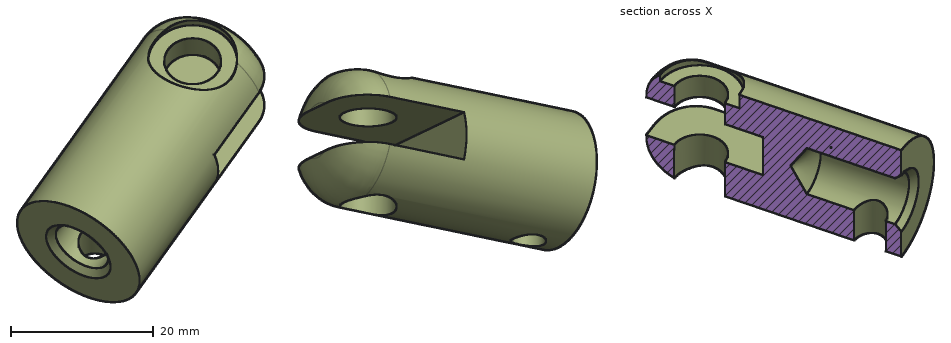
import cadquery as cq
import math

body_diameter = 20.0
body_length = 40.5
end_round_radius = 6.0

slot_width = 7.0
slot_depth = 18.5

pin_hole_diameter = 8.0
pin_hole_from_plain_end = 32.0
head_recess_diameter = 12.5
head_recess_floor_height = 7.5

socket_diameter = 8.5
socket_depth = 15.0
socket_tip_angle = 118.0
socket_chamfer = 1.0

side_hole_diameter = 5.0
side_hole_from_plain_end = 5.0

body_radius = body_diameter / 2
axis_start = (0, 0, 0)
axis_end = (0, 1, 0)


def make_body():
    """Cylinder with one rounded end, revolved about Y."""
    round_start = body_length - end_round_radius
    flat_radius = body_radius - end_round_radius
    return (
        cq.Workplane("XY")
        .lineTo(body_radius, 0)
        .lineTo(body_radius, round_start)
        .radiusArc((flat_radius, body_length), -end_round_radius)
        .lineTo(0, body_length)
        .close()
        .revolve(360, axis_start, axis_end)
    )


def make_slot():
    """Box that splits the rounded end into two fork arms."""
    slot_center = body_length - slot_depth / 2
    return cq.Workplane("XY").box(body_diameter, slot_depth, slot_width).translate((0, slot_center, 0))


def make_vertical_cylinder(diameter, distance_from_plain_end, bottom, top):
    """Cutting cylinder along Z on the centre plane of the body."""
    return (
        cq.Workplane("XY", origin=(0, distance_from_plain_end, bottom))
        .circle(diameter / 2)
        .extrude(top - bottom)
    )


def make_socket():
    """Drilled bore with a conical tip and a chamfered mouth, revolved about Y."""
    socket_radius = socket_diameter / 2
    tip_length = socket_radius / math.tan(math.radians(socket_tip_angle / 2))
    return (
        cq.Workplane("XY")
        .lineTo(socket_radius + socket_chamfer, 0)
        .lineTo(socket_radius, socket_chamfer)
        .lineTo(socket_radius, socket_depth)
        .lineTo(0, socket_depth + tip_length)
        .close()
        .revolve(360, axis_start, axis_end)
    )


pin_hole = make_vertical_cylinder(
    pin_hole_diameter, pin_hole_from_plain_end, -body_radius, body_radius
)
head_recess = make_vertical_cylinder(
    head_recess_diameter, pin_hole_from_plain_end, head_recess_floor_height, body_radius
)
side_hole = make_vertical_cylinder(
    side_hole_diameter, side_hole_from_plain_end, -body_radius, 0
)

result = (
    make_body()
    .cut(make_slot())
    .cut(pin_hole)
    .cut(head_recess)
    .cut(make_socket())
    .cut(side_hole)
)